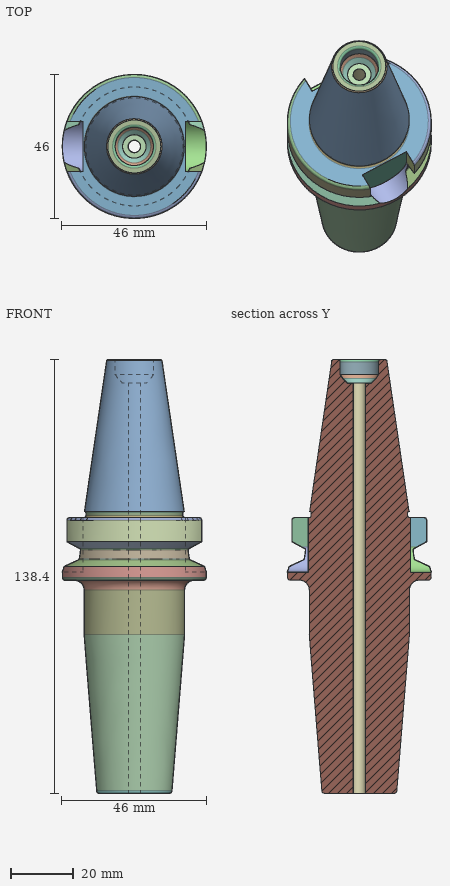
import cadquery as cq
taper_length = 48.5
total_length = 138.4
tip_z = taper_length - total_length

taper_ratio = 7 / 24
gauge_radius = 15.9
small_end_radius = gauge_radius - taper_length * taper_ratio / 2
small_end_chamfer = 0.4

relief_radius = 15.5
relief_length = 2.0
relief_upper_fillet = gauge_radius - relief_radius
relief_lower_fillet = 0.5

flange_radius = 23.0
flange_top_z = -relief_length
flange_bottom_z = -22.0
flange_round = 1.0
groove_radius = 19.0
groove_top_z = -9.7
groove_bottom_z = -17.6
groove_floor_top_z = -12.0
groove_floor_bottom_z = -15.4
groove_fillet = 0.4

slot_width = 16.0
slot_floor_x = 16.3
slot_end_z = -19.4

body_radius = 16.0
body_fillet = 3.0
body_taper_start_z = -39.3
tip_radius = 12.0
tip_round = 1.0

mouth_radius = 6.9
bore_radius = 6.1
bore_depth = 4.8
lead_in_depth = 1.2
seat_mouth_radius = 5.3
seat_radius = 3.7
through_radius = 2.0


def make_body():
    """Revolve the outer half profile about Z and round the groove floor."""
    fillet_end_radius = body_radius + body_fillet
    fillet_end_z = flange_bottom_z - body_fillet
    diagonal = body_fillet * 0.5**0.5
    fillet_middle = (fillet_end_radius - diagonal, fillet_end_z + diagonal)
    body = (
        cq.Workplane("XZ")
        .moveTo(0, taper_length)
        .lineTo(small_end_radius - small_end_chamfer, taper_length)
        .lineTo(small_end_radius, taper_length - small_end_chamfer)
        .lineTo(gauge_radius, 0)
        .radiusArc((relief_radius, -relief_upper_fillet), -relief_upper_fillet)
        .lineTo(relief_radius, flange_top_z + relief_lower_fillet)
        .radiusArc((relief_radius + relief_lower_fillet, flange_top_z), -relief_lower_fillet)
        .lineTo(flange_radius - flange_round, flange_top_z)
        .radiusArc((flange_radius, flange_top_z - flange_round), flange_round)
        .lineTo(flange_radius, groove_top_z)
        .lineTo(groove_radius, groove_floor_top_z)
        .lineTo(groove_radius, groove_floor_bottom_z)
        .lineTo(flange_radius, groove_bottom_z)
        .lineTo(flange_radius, flange_bottom_z + flange_round)
        .radiusArc((flange_radius - flange_round, flange_bottom_z), flange_round)
        .lineTo(fillet_end_radius, flange_bottom_z)
        .threePointArc(fillet_middle, (body_radius, fillet_end_z))
        .lineTo(body_radius, body_taper_start_z)
        .lineTo(tip_radius, tip_z + tip_round)
        .radiusArc((tip_radius - tip_round, tip_z), tip_round)
        .lineTo(0, tip_z)
        .close()
        .revolve(360, (0, 0, 0), (0, 1, 0))
    )
    groove_floor_corners = cq.selectors.BoxSelector(
        (-flange_radius, -flange_radius, groove_floor_bottom_z - groove_fillet),
        (flange_radius, flange_radius, groove_floor_top_z + groove_fillet),
    )
    return body.edges("%CIRCLE").edges(groove_floor_corners).fillet(groove_fillet)


def make_bore():
    """Revolve the stepped bore, which runs through the whole length."""
    mouth_round = mouth_radius - bore_radius
    seat_cone_depth = seat_mouth_radius - seat_radius
    bore_end_z = taper_length - bore_depth
    seat_mouth_z = bore_end_z - lead_in_depth
    seat_z = seat_mouth_z - seat_cone_depth
    return (
        cq.Workplane("XZ")
        .moveTo(0, taper_length)
        .lineTo(mouth_radius, taper_length)
        .radiusArc((bore_radius, taper_length - mouth_round), -mouth_round)
        .lineTo(bore_radius, bore_end_z)
        .lineTo(seat_mouth_radius, seat_mouth_z)
        .lineTo(seat_radius, seat_z)
        .lineTo(through_radius, seat_z)
        .lineTo(through_radius, tip_z)
        .lineTo(0, tip_z)
        .close()
        .revolve(360, (0, 0, 0), (0, 1, 0))
    )


def make_drive_slot(side):
    """Round-ended slot, open at the flange top; side is -1 for -X or +1 for +X."""
    half_width = slot_width / 2
    arc_centre_z = slot_end_z + half_width
    return (
        cq.Workplane("YZ", origin=(side * slot_floor_x, 0, 0))
        .moveTo(-half_width, flange_top_z)
        .lineTo(-half_width, arc_centre_z)
        .threePointArc((0, slot_end_z), (half_width, arc_centre_z))
        .lineTo(half_width, flange_top_z)
        .close()
        .extrude(side * (flange_radius - slot_floor_x))
    )


result = make_body().cut(make_bore())
for side in (-1, 1):
    result = result.cut(make_drive_slot(side))